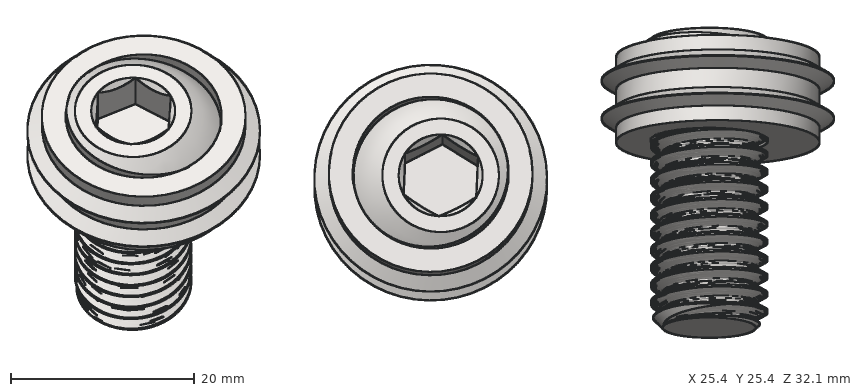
import cadquery as cq
import math

screw_length = 32.13
screw_offset_y = -1.3

ring_bottom = 20.92
ring_height = 9.55
ring_top = ring_bottom + ring_height
ring_radius = 11.12
ridge_radius = 25.4 / 2
ridge_half_width = 1.03
ridge_land = 0.1
ridge_centers = [23.58, 27.8]
recess_radius = 8.5
shank_clearance = 0.05

head_bottom = 25.38
head_radius = 8.42
head_flat_radius = 6.35
dome_radius = 11.82

socket_flats = 7.95
socket_depth = 4.7
socket_turn = 30
socket_corner_radius = socket_flats / math.sqrt(3)

shank_radius = 6.35
ten_pitches = 19.55
thread_pitch = ten_pitches / 10
thread_flat = thread_pitch / 8
flank_half_angle = math.radians(30)
thread_depth = (thread_pitch / 2 - thread_flat) / math.tan(flank_half_angle)
root_radius = shank_radius - thread_depth
tip_chamfer = 1.3
thread_phase = 0.21
flank_points = 8
envelope_margin = 0.15


def make_ring():
    """Ring with two sharp outer ridges, a central recess and an eccentric screw hole."""
    outline = cq.Workplane("XZ").moveTo(0, ring_bottom).lineTo(ring_radius, ring_bottom)
    for center in ridge_centers:
        outline = (
            outline.lineTo(ring_radius, center - ridge_half_width)
            .lineTo(ridge_radius, center - ridge_land / 2)
            .lineTo(ridge_radius, center + ridge_land / 2)
            .lineTo(ring_radius, center + ridge_half_width)
        )
    body = outline.lineTo(ring_radius, ring_top).lineTo(0, ring_top).close().revolve()
    recess = cq.Workplane("XY").workplane(offset=head_bottom).circle(recess_radius).extrude(ring_height)
    hole = (
        cq.Workplane("XY", origin=(0, screw_offset_y, ring_bottom))
        .circle(shank_radius + shank_clearance)
        .extrude(ring_height)
    )
    return body.cut(recess).cut(hole)


def polar_point(radius, turn):
    """Point at a radius and an angle given as a fraction of a turn."""
    angle = 2 * math.pi * turn
    return (radius * math.cos(angle), radius * math.sin(angle))


def make_thread_section():
    """Cross-section of the thread: crest and root arcs joined by two spiral flanks."""
    half_flat = thread_flat / thread_pitch / 2
    flank_turn = 0.5 - 2 * half_flat
    crest_start = thread_phase - half_flat
    crest_end = thread_phase + half_flat
    root_start = crest_end + flank_turn
    root_end = root_start + 2 * half_flat

    def falling_flank(t):
        return polar_point(shank_radius - t * thread_depth, crest_end + t * flank_turn)

    def rising_flank(t):
        return polar_point(root_radius + t * thread_depth, root_end + t * flank_turn)

    return (
        cq.Workplane("XY")
        .moveTo(*polar_point(shank_radius, crest_start))
        .threePointArc(polar_point(shank_radius, thread_phase), polar_point(shank_radius, crest_end))
        .parametricCurve(falling_flank, N=flank_points, makeWire=False)
        .moveTo(*polar_point(root_radius, root_start))
        .threePointArc(polar_point(root_radius, thread_phase + 0.5), polar_point(root_radius, root_end))
        .parametricCurve(rising_flank, N=flank_points, makeWire=False)
        .wire()
    )


def make_shank():
    """Right-hand threaded shank with a chamfered tip, about the Z axis."""
    thread = make_thread_section().twistExtrude(head_bottom, 360 * head_bottom / thread_pitch)
    envelope = (
        cq.Workplane("XY")
        .circle(shank_radius + envelope_margin)
        .extrude(head_bottom)
        .faces("<Z")
        .chamfer(tip_chamfer + envelope_margin)
    )
    return thread.intersect(envelope)


def make_head():
    """Domed head on the screw axis, turned down to a cylinder on the ring axis."""
    dome_center = screw_length - math.sqrt(dome_radius**2 - head_flat_radius**2)
    dome = cq.Workplane("XY", origin=(0, screw_offset_y, dome_center)).sphere(dome_radius)
    cylinder = (
        cq.Workplane("XY")
        .workplane(offset=head_bottom)
        .circle(head_radius)
        .extrude(screw_length - head_bottom)
    )
    return cylinder.intersect(dome)


def make_socket():
    """Hexagon socket cutter with a 45 degree lead-in that meets the corners."""
    hexagon = (
        cq.Workplane("XY", origin=(0, screw_offset_y, screw_length))
        .polygon(6, 2 * socket_corner_radius)
        .extrude(-socket_depth)
        .rotate((0, screw_offset_y, 0), (0, screw_offset_y, 1), socket_turn)
    )
    lead_in = cq.Workplane(cq.Solid.makeCone(
        0, socket_corner_radius, socket_corner_radius,
        pnt=cq.Vector(0, screw_offset_y, screw_length - socket_corner_radius),
    ))
    return hexagon.union(lead_in)


def make_screw():
    """Eccentric-head socket screw."""
    shank = make_shank().translate((0, screw_offset_y, 0))
    return make_head().union(shank).cut(make_socket())


ring = make_ring()
screw = make_screw()

result = cq.Compound.makeCompound([ring.solids().val(), screw.solids().val()])